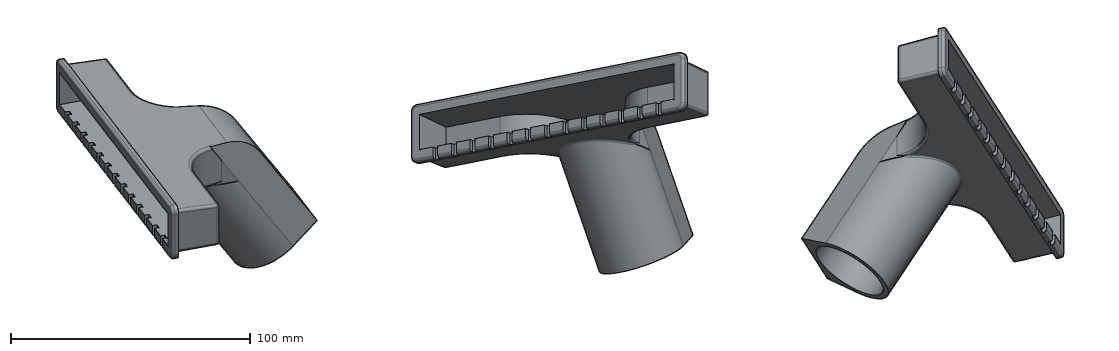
import cadquery as cq
import math

flange_width = 139.5
flange_height = 25.2
flange_depth = 2.9
flange_corner_radius = 3.0
flange_edge_radius = 1.3

wall = 2.5
mouth_width = 130.0
mouth_floor = 5.0
head_width = mouth_width + 2 * wall
head_bottom = mouth_floor - wall
head_back = 22.0
head_edge_radius = 1.3
roof_front = 22.9
roof_slope = 2.5
shoulder_radius = 19.1

tube_radius = 19.0
tube_angle = 56.0
tube_end_y = 85.1
tube_end_z = -25.2
tube_back_width = 30.0
throat_fillet_radius = 1.0
bend_radius = 20.0
bore_radius = tube_radius - wall
bore_start = 56.2

slot_count = 13
slot_pitch = 9.5
slot_width = 2.5
slot_depth = 2.0

reach = 279.0
tolerance = 0.1

slope = math.radians(roof_slope)
tilt = math.radians(tube_angle)

corner_distance = math.hypot(tube_back_width / 2, tube_radius)
tangent_angle = math.atan2(tube_radius, tube_back_width / 2) - math.acos(tube_radius / corner_distance)
neck_half_width = tube_radius * math.cos(tangent_angle)


def tube_point(along, height):
    """(Y, Z) at a distance up the tube from its end, and a height above its axis."""
    drop = tube_radius - height
    return (
        tube_end_y - along * math.cos(tilt) - drop * math.sin(tilt),
        tube_end_z + along * math.sin(tilt) - drop * math.cos(tilt),
    )


def side_extrusion(outline, width):
    """Extrude a (Y, Z) outline symmetrically along X."""
    return cq.Workplane("YZ").polyline(outline).close().extrude(width / 2, both=True)


def under_roof(inset):
    """Everything below the sloping roof and the rounded bend, moved inwards by inset."""
    back_y, back_z = tube_point(0, tube_radius - inset)
    front_z = roof_front - inset / math.cos(slope)
    ridge_y = (back_z + back_y * math.tan(tilt) - front_z) / (math.tan(tilt) - math.tan(slope))
    ridge_z = front_z - ridge_y * math.tan(slope)
    far_y = back_y + reach * math.cos(tilt)
    far_z = back_z - reach * math.sin(tilt)
    block = side_extrusion(
        [(0, front_z), (ridge_y, ridge_z), (far_y, far_z), (0, far_z)], reach
    )
    ridge = cq.selectors.BoxSelector(
        (-tolerance, ridge_y - tolerance, ridge_z - tolerance),
        (tolerance, ridge_y + tolerance, ridge_z + tolerance),
    )
    return block.edges(ridge).fillet(bend_radius - inset)


def head_plan(inset, bottom):
    """T-shaped plan of the arms and neck, with concave shoulders, as a tall block."""
    arm = head_width / 2 - inset
    back = head_back - inset
    neck = neck_half_width - inset
    radius = shoulder_radius + inset
    diagonal = radius * math.sqrt(0.5)
    centre_x = neck + radius
    centre_y = back + radius
    return (
        cq.Workplane("XY", origin=(0, 0, bottom))
        .moveTo(-arm, 0)
        .lineTo(arm, 0)
        .lineTo(arm, back)
        .lineTo(centre_x, back)
        .threePointArc((centre_x - diagonal, centre_y - diagonal), (neck, centre_y))
        .lineTo(neck, tube_end_y)
        .lineTo(-neck, tube_end_y)
        .lineTo(-neck, centre_y)
        .threePointArc((diagonal - centre_x, centre_y - diagonal), (-centre_x, back))
        .lineTo(-arm, back)
        .close()
        .extrude(reach)
    )


def ahead_of_tube_line(along, height, direction):
    """Half space in front of the line through a tube point at an angle above horizontal."""
    y, z = tube_point(along, height)
    step_y = reach * math.cos(direction)
    step_z = reach * math.sin(direction)
    return side_extrusion(
        [
            (y + step_y, z - step_z),
            (y - step_y, z + step_z),
            (y - step_y - reach, z + step_z),
            (y + step_y - reach, z - step_z),
        ],
        reach,
    )


def ahead_of_flanks(inset):
    """Half space in front of the lines where the tube's flanks meet its round belly."""
    return ahead_of_tube_line(0, (tube_radius - inset) * math.sin(tangent_angle), tilt)


def head_block(inset, bottom):
    """Arms and neck under the roof and bend."""
    return head_plan(inset, bottom).intersect(under_roof(inset))


def build_head():
    """Head with rounded outer edges, running as far back as the tube's flanks."""
    head = head_block(0, head_bottom)
    arm_zone = cq.selectors.BoxSelector(
        (-head_width, flange_depth, 0), (head_width, head_back + shoulder_radius, roof_front)
    )
    outer_edges = [
        edge
        for edge in head.edges(arm_zone).vals()
        if abs(edge.Center().x) > neck_half_width
    ]
    return head.newObject(outer_edges).fillet(head_edge_radius).intersect(ahead_of_flanks(0))


def tube_plane():
    """Workplane on the tube's end, looking up its axis, with local Y towards the flat back."""
    y, z = tube_point(0, 0)
    axis = (0, -math.cos(tilt), math.sin(tilt))
    return cq.Workplane(cq.Plane(origin=(0, y, z), xDir=(1, 0, 0), normal=axis))


def below(height, width):
    """Block of the given width reaching down from a height."""
    return cq.Workplane("XY", origin=(0, 0, height - reach / 2)).box(width, reach, reach)


def tube_block(inset, bottom):
    """Tube with a round belly, tapered flanks and flat back, leaving room for the head above bottom."""
    radius = tube_radius - inset
    tangent_x = radius * math.cos(tangent_angle)
    tangent_height = radius * math.sin(tangent_angle)
    back_half_width = tube_back_width / 2 * radius / tube_radius
    tube = (
        tube_plane()
        .moveTo(-tangent_x, tangent_height)
        .threePointArc((0, -radius), (tangent_x, tangent_height))
        .lineTo(back_half_width, radius)
        .lineTo(-back_half_width, radius)
        .close()
        .extrude(reach)
        .intersect(under_roof(inset))
    )
    upper_part = tube.cut(ahead_of_flanks(inset))
    lower_part = tube.intersect(below(bottom, reach))
    neck_foot = tube.intersect(below(bottom + head_edge_radius, 2 * (neck_half_width - inset)))
    return upper_part.union(lower_part).union(neck_foot)


def build_flange():
    return (
        cq.Workplane("XZ", origin=(0, 0, flange_height / 2))
        .rect(flange_width, flange_height)
        .extrude(-flange_depth)
        .edges("|Y")
        .fillet(flange_corner_radius)
        .faces("<Y")
        .edges()
        .fillet(flange_edge_radius)
    )


def build_cavity():
    """Hollow head and tube; below a ledge square to the tube only the round bore goes on."""
    ledge = ahead_of_tube_line(bore_start, 0, tilt - math.pi / 2)
    throat = tube_block(wall, mouth_floor).intersect(ledge)
    bore = tube_plane().circle(bore_radius).extrude(bore_start).intersect(under_roof(wall))
    chamber = head_block(wall, mouth_floor).intersect(ahead_of_flanks(wall))
    return chamber.union(throat).union(bore)


def build_slots():
    return (
        cq.Workplane("XY")
        .rarray(slot_pitch, 1.4, slot_count, 1)
        .rect(slot_width, 2 * slot_depth)
        .extrude(mouth_floor)
    )


def build_outside():
    """Head, tube and flange, with a fillet where the tube leaves the head's underside."""
    body = build_head().union(tube_block(0, head_bottom))
    on_underside = cq.selectors.BoxSelector(
        (-neck_half_width, 0, head_bottom - tolerance),
        (neck_half_width, head_back + shoulder_radius, head_bottom + tolerance),
    )
    throat_edge = body.edges(on_underside).edges("%ELLIPSE")
    body = throat_edge.fillet(throat_fillet_radius)
    return body.union(build_flange())


result = build_outside().cut(build_cavity()).cut(build_slots())